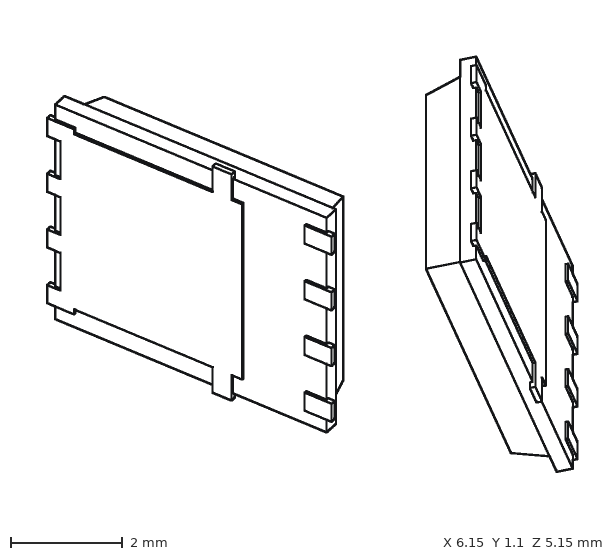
import cadquery as cq

length = 6.15
depth = 1.1
height = 5.15

base_length = 5.875
base_height = 4.885
base_back = 0.35
cap_ledge = 0.195
cap_taper = 0.155

standoff = 0.05
lead_thickness = 0.105
lead_length = 0.58
lead_width = 0.41
lead_pitch = 1.265
lead_count = 4
pad_left_inset = 0.28
pad_right_inset = 4.22
pad_height = 3.985
tie_bar_position = 3.78

front_y = -depth / 2
left_x = -length / 2
right_x = length / 2


def metal_strip(x_start, x_end, z_center, z_size):
    """Flat strip of lead metal lying on the mounting face."""
    strip = cq.Workplane("XY").box(x_end - x_start, lead_thickness, z_size)
    return strip.translate(((x_start + x_end) / 2, front_y + lead_thickness / 2, z_center))


def moulded_body():
    base_depth = base_back - standoff
    base_center_y = front_y + standoff + base_depth / 2
    base = cq.Workplane("XY").box(base_length, base_depth, base_height).translate((0, base_center_y, 0))

    foot_length = base_length - 2 * cap_ledge
    foot_height = base_height - 2 * cap_ledge
    cap = (
        cq.Workplane("XZ", origin=(0, front_y + base_back, 0))
        .rect(foot_length, foot_height)
        .workplane(offset=base_back - depth)
        .rect(foot_length - 2 * cap_taper, foot_height - 2 * cap_taper)
        .loft(ruled=True)
    )
    return base.union(cap)


def thermal_pad():
    pad = metal_strip(left_x + pad_left_inset, left_x + pad_right_inset, 0, pad_height)
    tie_x = left_x + tie_bar_position
    tie_bar = metal_strip(tie_x - lead_width / 2, tie_x + lead_width / 2, 0, height)
    return pad.union(tie_bar)


result = moulded_body().union(thermal_pad())

for index in range(lead_count):
    lead_z = (index - (lead_count - 1) / 2) * lead_pitch
    result = result.union(metal_strip(left_x, left_x + lead_length, lead_z, lead_width))
    result = result.union(metal_strip(right_x - lead_length, right_x, lead_z, lead_width))